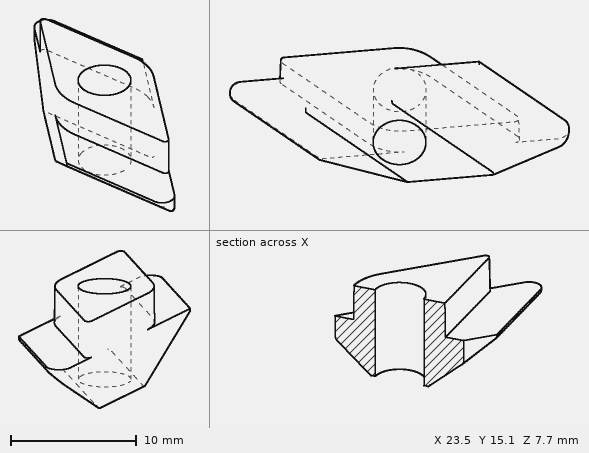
import cadquery as cq
import math


foot_half_depth = 7.56
nut_width = 7.9
foot_height = 4.7
floor_half_depth = 2.5
lip_height = 0.3
foot_corner_radius = 1.0
lower_edge_radius = 0.3

neck_half_depth = 4.0
neck_height = 3.0
neck_draft = 1.0
neck_obtuse_radius = 4.0
neck_acute_radius = 0.3

hole_diameter = 4.2

total_height = foot_height + neck_height
diagonal_offset = nut_width / 2 * math.sqrt(2)
foot_half_length = foot_half_depth + diagonal_offset

DIAGONAL_FACES = "<(1, 1, 0) or >(1, 1, 0)"


def diagonal_band(height):
    """Upright parallelogram block between the two diagonal faces."""
    outline = [
        (-foot_half_depth - diagonal_offset, foot_half_depth),
        (-foot_half_depth + diagonal_offset, foot_half_depth),
        (foot_half_depth + diagonal_offset, -foot_half_depth),
        (foot_half_depth - diagonal_offset, -foot_half_depth),
    ]
    return cq.Workplane("XY").polyline(outline).close().extrude(height)


def bar_along_x(section):
    """Bar with a (y, z) section, as long as the untrimmed foot."""
    return cq.Workplane("YZ").polyline(section).close().extrude(foot_half_length, both=True)


def make_foot():
    """Wedge trimmed to the diagonal band, with its lower edges rounded."""
    lip_bottom = foot_height - lip_height
    wedge = bar_along_x([
        (-floor_half_depth, 0),
        (floor_half_depth, 0),
        (foot_half_depth, lip_bottom),
        (foot_half_depth, foot_height),
        (-foot_half_depth, foot_height),
        (-foot_half_depth, lip_bottom),
    ])
    band = diagonal_band(foot_height)
    band = band.edges("|Z").edges("<X or >X").fillet(foot_corner_radius)
    foot = band.intersect(wedge)
    lower_edges = foot.faces(DIAGONAL_FACES).edges("not |Z").edges("not(>Z)")
    return lower_edges.fillet(lower_edge_radius)


def make_neck():
    """Drafted bar trimmed flush with the diagonal faces, its upright corners rounded."""
    top_half_depth = neck_half_depth - neck_height * math.tan(math.radians(neck_draft))
    bar = bar_along_x([
        (-neck_half_depth, foot_height),
        (neck_half_depth, foot_height),
        (top_half_depth, total_height),
        (-top_half_depth, total_height),
    ])
    neck = bar.intersect(diagonal_band(total_height))
    neck = neck.edges("not #Z").edges("<X or >X").fillet(neck_acute_radius)
    obtuse_corners = neck.edges("not #Z").edges("<(1, 2, 0) or >(1, 2, 0)")
    return obtuse_corners.fillet(neck_obtuse_radius)


def make_hole():
    """Cylinder that runs through the full height."""
    return cq.Workplane("XY").circle(hole_diameter / 2).extrude(total_height)


result = make_foot().union(make_neck()).cut(make_hole())